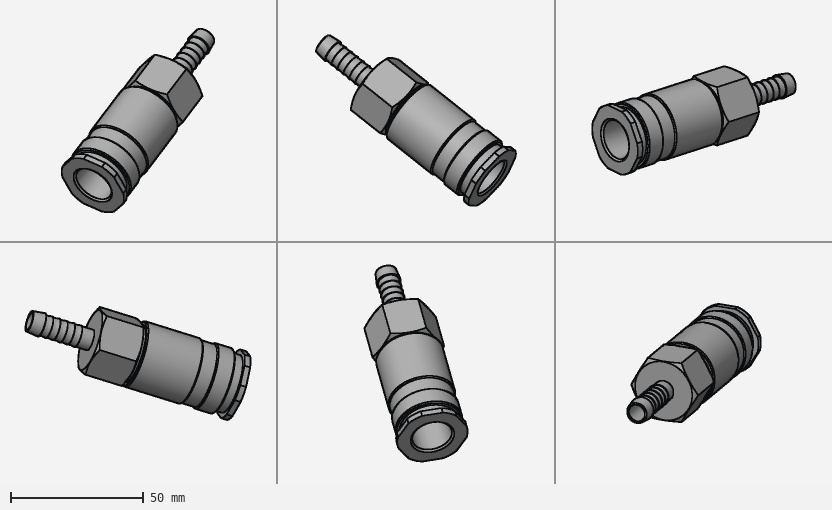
import cadquery as cq
import math

total_length = 85.0

flange_flats = 26.0
flange_diameter = 27.2
flange_thickness = 2.4

body_radius = 13.0
groove_radius = 12.5
neck_radius = 11.5
edge_chamfer = 0.5
collar_start = 5.95
collar_end = 13.35
body_start = 19.0
body_end = 42.2

nut_start = 43.2
nut_end = 60.1
nut_corners = 27.7
nut_face_radius = 11.8
nut_chamfer_length = 1.0

stem_radius = 4.1
barb_radius = 4.7
barb_length = 4.9
ridge_radius = 4.3
ridge_count = 5
ridge_pitch = 3.0
ridge_length = 1.5
first_ridge_from_tip = 6.5

socket_radius = 7.65
socket_depth = 38.25
mouth_chamfer = 0.8
passage_radius = 3.3


def cylinder(radius, start, end):
    """Cylinder about Y between two stations."""
    plane = cq.Workplane("XZ", origin=(0, start, 0))
    return plane.circle(radius).extrude(start - end)


def hexagon(corner_diameter, start, end):
    """Hexagonal prism about Y with corners on the X axis."""
    plane = cq.Workplane("XZ", origin=(0, start, 0))
    return plane.polygon(6, corner_diameter).extrude(start - end)


def revolve_profile(points):
    """Solid of revolution about Y from (radius, station) points."""
    return cq.Workplane("XY").polyline(points).close().revolve(360, (0, 0, 0), (0, 1, 0))


def make_flange():
    corner_diameter = flange_flats / math.cos(math.radians(30))
    prism = hexagon(corner_diameter, 0, flange_thickness)
    return prism.intersect(cylinder(flange_diameter / 2, 0, flange_thickness))


def make_sleeve():
    neck = cylinder(neck_radius, 0, nut_start)
    groove = cylinder(groove_radius, collar_start, body_end)
    collar = cylinder(body_radius, collar_start, collar_end).edges().chamfer(edge_chamfer)
    body = cylinder(body_radius, body_start, body_end).edges().chamfer(edge_chamfer)
    return neck.union(groove).union(collar).union(body)


def make_nut():
    corner_radius = nut_corners / 2
    envelope = revolve_profile([
        (0, nut_start),
        (nut_face_radius, nut_start),
        (corner_radius, nut_start + nut_chamfer_length),
        (corner_radius, nut_end - nut_chamfer_length),
        (nut_face_radius, nut_end),
        (0, nut_end),
    ])
    return hexagon(nut_corners, nut_start, nut_end).intersect(envelope)


def make_hose_tail():
    barb_base = total_length - barb_length
    points = [
        (0, nut_start),
        (0, total_length),
        (stem_radius, total_length),
        (barb_radius, barb_base),
        (stem_radius, barb_base),
    ]
    for index in range(ridge_count):
        ridge_top = total_length - first_ridge_from_tip - index * ridge_pitch
        ridge_base = ridge_top - ridge_length
        points += [
            (stem_radius, ridge_top),
            (ridge_radius, ridge_base),
            (stem_radius, ridge_base),
        ]
    points.append((stem_radius, nut_start))
    return revolve_profile(points)


def make_bores():
    socket = revolve_profile([
        (0, 0),
        (socket_radius + mouth_chamfer, 0),
        (socket_radius, mouth_chamfer),
        (socket_radius, socket_depth),
        (0, socket_depth),
    ])
    return socket.union(cylinder(passage_radius, 0, total_length))


outside = make_sleeve().union(make_flange()).union(make_nut()).union(make_hose_tail())
result = outside.cut(make_bores())